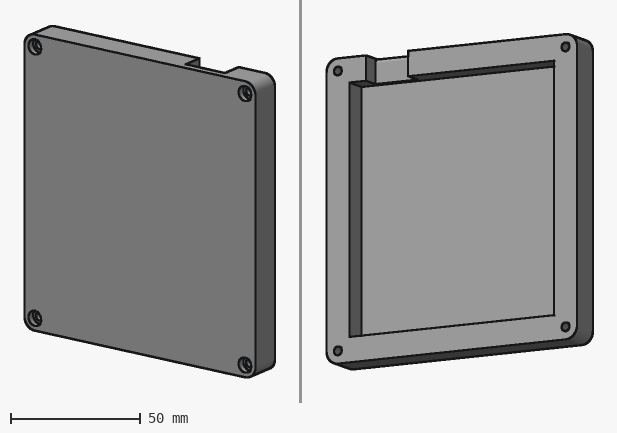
import cadquery as cq


width = 109.66
height = 119.91
floor_thickness = 3.0
wall_height = 10.0
thickness = floor_thickness + wall_height
corner_radius = 5.0

wall_thickness = 10.0

hole_inset = wall_thickness / 2
screw_diameter = 3.4
head_diameter = 6.0
head_depth = 3.1

notch_width = 18.5
notch_offset = 28.28
notch_floor = 5.5
lip_radius = 2.0


def make_shell():
    """Solid block with rounded outline corners."""
    block = cq.Workplane("XY").box(width, thickness, height, centered=False)
    return block.edges("|Y").fillet(corner_radius)


def make_cavity():
    """Rectangular space between the walls, open toward +Y."""
    cavity_width = width - 2 * wall_thickness
    cavity_height = height - 2 * wall_thickness
    corner = (wall_thickness, floor_thickness, wall_thickness)
    return cq.Workplane("XY", origin=corner).box(cavity_width, wall_height, cavity_height, centered=False)


def make_screw_holes():
    """Four through holes with a counterbore for the screw head in the floor face."""
    x_span = width - 2 * hole_inset
    z_span = height - 2 * hole_inset
    hole_centers = (
        cq.Workplane("XZ", origin=(width / 2, 0, height / 2))
        .rarray(x_span, z_span, 2, 2)
    )
    shanks = hole_centers.circle(screw_diameter / 2).extrude(-thickness)
    heads = hole_centers.circle(head_diameter / 2).extrude(-head_depth)
    return shanks.union(heads)


def make_notch():
    """Slot through the top wall whose floor rounds over into the outer face."""
    notch_left = width / 2 + notch_offset - notch_width / 2
    wall_inside = height - wall_thickness
    return (
        cq.Workplane("YZ", origin=(notch_left, 0, 0))
        .moveTo(notch_floor - lip_radius, height)
        .radiusArc((notch_floor, height - lip_radius), lip_radius)
        .lineTo(notch_floor, wall_inside)
        .lineTo(thickness, wall_inside)
        .lineTo(thickness, height)
        .close()
        .extrude(notch_width)
    )


case = make_shell().cut(make_cavity()).cut(make_screw_holes()).cut(make_notch())
result = case.solids()